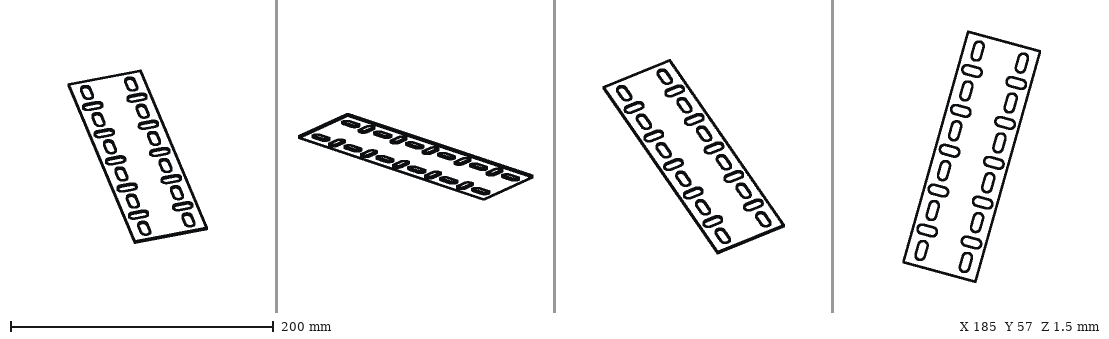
import cadquery as cq

plate_length = 185.0
plate_width = 57.0
plate_thickness = 1.5

slot_length = 15.0
slot_width = 7.0
slots_per_row = 11
row_spacing = 35.0
same_direction_pitch = 32.0
slot_pitch = same_direction_pitch / 2


def slot_cutter(x, y, angle):
    """Round-ended slot through the plate, turned by angle from the X axis."""
    return (
        cq.Workplane("XY")
        .center(x, y)
        .slot2D(slot_length, slot_width, angle)
        .extrude(plate_thickness)
    )


result = cq.Workplane("XY").box(
    plate_length, plate_width, plate_thickness, centered=(True, True, False)
)

for row_y in (-row_spacing / 2, row_spacing / 2):
    for index in range(slots_per_row):
        slot_x = (index - (slots_per_row - 1) / 2) * slot_pitch
        slot_angle = 0 if index % 2 == 0 else 90
        result = result.cut(slot_cutter(slot_x, row_y, slot_angle))